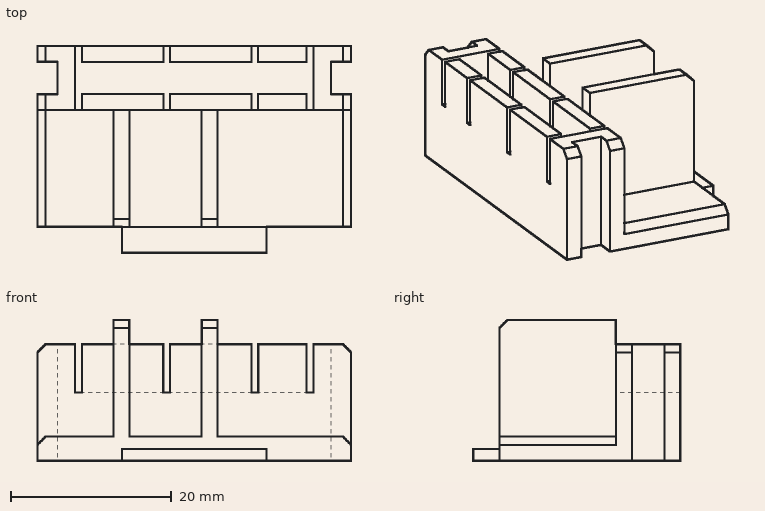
import cadquery as cq

length = 39.0
depth = 25.75
height = 17.5
wall = 2.0
chamfer = 1.0

block_depth = 8.0
block_height = 14.5
tongue_reach = 3.25
tongue_width = 18.0
tongue_height = 1.5
base_height = 3.0
base_depth = depth - tongue_reach

slot_depth = 6.0
slot_width = 0.8
end_slot_x = 14.4
slot_pitch = 10.95
slot_centers = [-end_slot_x, -end_slot_x + slot_pitch, -end_slot_x + 2 * slot_pitch, end_slot_x]
slot_floor = block_height - slot_depth

fin_centers = [-9.05, -9.05 + slot_pitch]
notch_reach = 2.5

block_front = base_depth - block_depth
block_middle = base_depth - block_depth / 2
channel_width = block_depth - 2 * wall


def box(x_center, y_start, z_start, size_x, size_y, size_z):
    """Box centred on x_center, extending back and up from its start corner."""
    corner = cq.Workplane("XY").box(size_x, size_y, size_z, centered=(True, False, False))
    return corner.translate((x_center, y_start, z_start))


def make_body():
    """Base plate and rear block, each with chamfered upper end edges, plus the tongue."""
    base = box(0, 0, 0, length, block_front, base_height)
    base = base.edges("|Y and >Z").chamfer(chamfer)
    block = box(0, block_front, 0, length, block_depth, block_height)
    block = block.edges("|Y and >Z").chamfer(chamfer)
    tongue = box(0, -tongue_reach, 0, tongue_width, tongue_reach, tongue_height)
    return base.union(block).union(tongue)


def make_fin(x_center):
    """Upright divider on the base plate with its top front edge chamfered."""
    fin = box(x_center, 0, 0, wall, block_front, height)
    return fin.edges("|X and >Z and <Y").chamfer(chamfer)


def cut_channel_and_slots(body):
    """Lengthwise channel between the end slots, crossed by narrow slots."""
    channel_length = 2 * end_slot_x + slot_width
    channel_front = block_middle - channel_width / 2
    body = body.cut(box(0, channel_front, slot_floor, channel_length, channel_width, slot_depth))
    for x_center in slot_centers:
        body = body.cut(box(x_center, block_front, slot_floor, slot_width, block_depth, slot_depth))
    return body


def cut_end_notches(body):
    """Full-height notch in each end of the rear block."""
    notch_front = block_middle - channel_width / 2
    for side in (-1, 1):
        x_center = side * (length - notch_reach) / 2
        body = body.cut(box(x_center, notch_front, 0, notch_reach, channel_width, block_height))
    return body


result = cut_end_notches(cut_channel_and_slots(make_body()))
for fin_x in fin_centers:
    result = result.union(make_fin(fin_x))